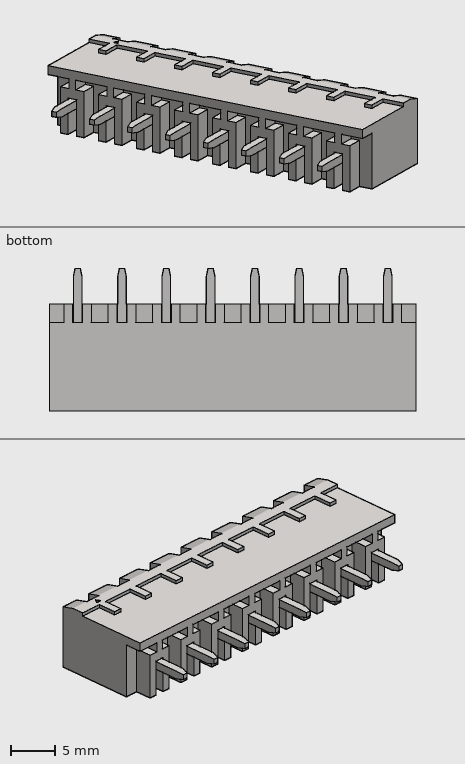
import cadquery as cq


pin_count = 8
pitch = 4.999
pin_positions = [(i - (pin_count - 1) / 2) * pitch for i in range(pin_count)]

length = 41.4
depth = 12.1
height = 8.2
ridge_height = 0.4
deck_height = height - ridge_height

bevel_depth = 1.6
bevel_drop = ridge_height
ridge_depth = 3.1
rib_width = 1.0
rib_end_depth = 5.5

groove_width = 1.95
groove_wall_depth = 1.55
groove_floor_sag = 0.2

recess_depth = 2.1
front_lip_bottom = 6.7
shoulder_height = 5.55
neck_width = 0.9
leg_span = 3.1
slot_width = 1.1
slot_height = 4.4

pin_width = 1.0
pin_height = 3.75
pin_projection = 4.0
pin_taper_length = 0.9
pin_tip_width = 0.62

marker_width = 0.55
marker_length = 0.55
marker_base_depth = 2.53
marker_engraving = 0.1


def box(x_center, width, y_min, y_max, z_min, z_max):
    """Box centred on x_center in X and spanning the given Y and Z limits."""
    return (
        cq.Workplane("XY")
        .box(width, y_max - y_min, z_max - z_min, centered=(True, False, False))
        .translate((x_center, y_min, z_min))
    )


def housing_block():
    """Housing cross-section in YZ, extruded along the row."""
    ridge_front = depth - ridge_depth
    return (
        cq.Workplane("YZ")
        .moveTo(0, 0)
        .lineTo(depth, 0)
        .lineTo(depth, height - bevel_drop)
        .lineTo(depth - bevel_depth, height)
        .lineTo(ridge_front, height)
        .lineTo(ridge_front, deck_height)
        .lineTo(0, deck_height)
        .close()
        .extrude(length / 2, both=True)
    )


def rear_groove(x):
    """Groove with a shallow arched floor that falls toward the rear parallel to the bevel."""
    half_width = groove_width / 2
    wall_bottom = height - groove_wall_depth
    section = (
        cq.Workplane("XZ", origin=(x, depth - bevel_depth, 0))
        .moveTo(-half_width, height)
        .lineTo(-half_width, wall_bottom)
        .threePointArc((0, wall_bottom - groove_floor_sag), (half_width, wall_bottom))
        .lineTo(half_width, height)
        .close()
    )
    along_bevel = cq.Vector(0, bevel_depth, -bevel_drop)
    groove = cq.Solid.extrudeLinear(section.val(), [], along_bevel)
    return cq.Workplane(groove)


def front_rib(x):
    """Neck and two legs filling the front recess at one pin."""
    neck = box(x, neck_width, 0, recess_depth, shoulder_height, front_lip_bottom)
    legs = box(x, leg_span, 0, recess_depth, 0, shoulder_height)
    slot = box(x, slot_width, 0, recess_depth, 0, slot_height)
    return neck.union(legs).cut(slot)


def pin(x):
    """Square pin from the recessed wall, with a tapered tip."""
    shoulder_y = pin_taper_length - pin_projection
    half_width = pin_width / 2
    shank = box(x, pin_width, shoulder_y, recess_depth, pin_height - half_width, pin_height + half_width)
    tip = (
        cq.Workplane("XZ", origin=(x, shoulder_y, pin_height))
        .rect(pin_width, pin_width)
        .workplane(offset=pin_taper_length)
        .rect(pin_tip_width, pin_tip_width)
        .loft(combine=True)
    )
    return shank.union(tip)


def pin_one_marker(x):
    """Engraved triangle on the ridge."""
    base_y = depth - marker_base_depth
    return (
        cq.Workplane("XY", origin=(x, base_y, height - marker_engraving))
        .moveTo(-marker_width / 2, 0)
        .lineTo(marker_width / 2, 0)
        .lineTo(0, marker_length)
        .close()
        .extrude(marker_engraving)
    )


front_recess = box(0, length, 0, recess_depth, 0, front_lip_bottom)
result = housing_block().cut(front_recess)

for x in pin_positions:
    ridge_rib = box(x, rib_width, depth - rib_end_depth, depth - ridge_depth, deck_height, height)
    result = result.union(front_rib(x)).union(ridge_rib).union(pin(x))
    result = result.cut(rear_groove(x))

result = result.cut(pin_one_marker(pin_positions[0]))